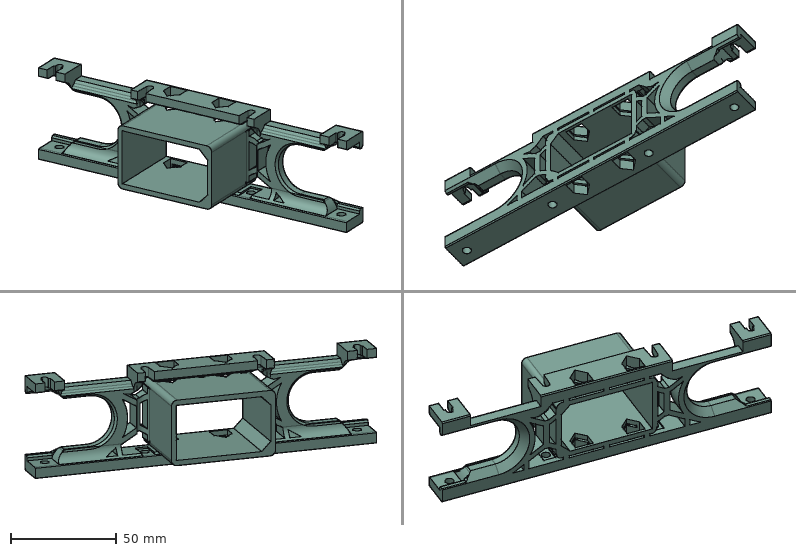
import cadquery as cq
import math


LENGTH = 171.95
HEIGHT = 47.0
FLANGE_DEPTH = 15.0
WEB_DEPTH = 9.4
END_X = LENGTH / 2
TOP_Z = HEIGHT / 2
REAR_CHAMFER = 0.6
MARGIN = 1.0

TOP_FLOOR_Z = TOP_Z - 4.8
BOTTOM_FLOOR_Z = -TOP_Z + 5.3
COVE_RADIUS = FLANGE_DEPTH - WEB_DEPTH
LIP_BEVEL_DEPTH = 1.0
TOP_LIP_BEVEL = 0.5
BOTTOM_LIP_BEVEL = 0.25

OPENING_RADIUS = 12.6
OPENING_CENTER_X = 56.4
OPENING_REAR_DEPTH = 4.2
OPENING_REAR_FLARE = 3.5
OPENING_FRONT_CHAMFER = 1.1
RING_OUTER_RADIUS = 18.9

POCKET_X = 73.6
POCKET_RAMP_X = 69.3
RAMP_BOW = 0.65
POCKET_REAR_Y = -3.1
TOP_LIP_Z = 15.05
BOTTOM_LIP_Z = -15.7
END_LIP_X = 73.3
END_LIP_BEVEL_DEPTH = 0.7
END_LIP_BEVEL_HEIGHT = 1.0

END_SCREW_X = 78.7
INNER_SCREW_X = 28.3
SCREW_Y = -7.8
SLOT_REAR_Y = -5.9
SLOT_BASE_Z = TOP_FLOOR_Z - COVE_RADIUS
CUT_FRONT_Y = -FLANGE_DEPTH - MARGIN
SCREW_HOLE_DIAMETER = 4.2
END_SLOT_WIDTH = 3.2
END_SLOT_MOUTH_WIDTH = 4.8
END_SLOT_MOUTH_Y = -8.9
INNER_SLOT_WIDTH = 3.7
INNER_SLOT_MOUTH_WIDTH = 4.7
SCREW_POCKET_WIDTH = 6.2

LOWERED_INNER_X = 34.4
LOWERED_OUTER_X = 71.2
LOWERED_FLAT_DEPTH = 5.5
LOWERED_FLAT_Z = 17.3
LOWERED_STEEP_DEPTH = 6.6
LOWERED_STEEP_Z = 15.9
LOWERED_STEP_DEPTH = 7.9
LOWERED_STEP_Z = 15.0
LOWERED_FRONT_Z = 14.2

BOX_HALF_WIDTH = 26.2
BOX_HALF_HEIGHT = 16.3
BOX_DEPTH = 40.0
BOX_CORNER_RADIUS = 2.8
BOX_SIDE_WALL = 2.4
BOX_CAP_WALL = 2.65
BOX_INNER_CHAMFER = 4.6
RIB_WIDTH = 2.9
RIB_SPACING = 21.1

WINDOW_HALF_HEIGHT = 17.4
STRUT_ANGLE = math.radians(30)
STRUT_SLOPE = math.tan(STRUT_ANGLE)
BAR_OUTER_X = 33.1
BAR_INNER_X = 29.9
BAR_INSIDE_HALF = 5.4
STRUT_OUTSIDE_HALF = 8.2
KNEE_OUTER_X = 32.5
KNEE_INNER_X = 30.3
POST_INNER_X = 40.8
POST_OUTER_X = 43.4
TRIANGLE_TIP_X = 49.0
TRIANGLE_HEIGHT = 3.2
UPPER_WINDOW_TIP_X = 39.5
UPPER_WINDOW_EDGE = ((-36.0, 11.6), (-32.3, 13.4))
UPPER_WINDOW_CORNER_X = 28.2
GROOVE_X = 32.7
GROOVE_DEPTH = 3.7
COLLAR_HALF_WIDTH = 26.7

PENTAGON_CENTERS_X = (-16.0, 11.1)
PENTAGON_WIDTH = 9.2
PENTAGON_REAR_Y = -1.5
PENTAGON_SHOULDER_Y = -7.7


def block(x_min, x_max, y_min, y_max, z_min, z_max):
    """Axis-aligned block between two corners."""
    return (
        cq.Workplane("XY")
        .box(x_max - x_min, y_max - y_min, z_max - z_min, centered=False)
        .translate((x_min, y_min, z_min))
    )


def along_x(profile, x_min, x_max):
    """Extrude a closed YZ profile between two X positions."""
    return profile.extrude(x_max - x_min).translate((x_min, 0, 0))


def along_y(profile, depth):
    """Extrude a closed XZ profile from the rear face toward the front."""
    return profile.extrude(depth)


def both_sides(body):
    """The body together with its mirror image across the YZ plane."""
    return body.union(body.mirror("YZ"))


def make_frame():
    top_lip_z = TOP_FLOOR_Z + TOP_LIP_BEVEL
    bottom_lip_z = BOTTOM_FLOOR_Z - BOTTOM_LIP_BEVEL
    bevel_y = -FLANGE_DEPTH + LIP_BEVEL_DEPTH
    sagitta = COVE_RADIUS * (1 - math.sqrt(0.5))
    cove_mid_y = -WEB_DEPTH - sagitta
    cove_end_y = -WEB_DEPTH - COVE_RADIUS
    profile = (
        cq.Workplane("YZ")
        .moveTo(-REAR_CHAMFER, TOP_Z)
        .lineTo(-FLANGE_DEPTH, TOP_Z)
        .lineTo(cove_end_y, TOP_FLOOR_Z)
        .threePointArc((cove_mid_y, TOP_FLOOR_Z - sagitta), (-WEB_DEPTH, TOP_FLOOR_Z - COVE_RADIUS))
        .lineTo(-WEB_DEPTH, BOTTOM_FLOOR_Z + COVE_RADIUS)
        .threePointArc((cove_mid_y, BOTTOM_FLOOR_Z + sagitta), (cove_end_y, BOTTOM_FLOOR_Z))
        .lineTo(-FLANGE_DEPTH, -TOP_Z)
        .lineTo(-REAR_CHAMFER, -TOP_Z)
        .lineTo(0, -TOP_Z + REAR_CHAMFER)
        .lineTo(0, TOP_Z - REAR_CHAMFER)
        .close()
    )
    frame = along_x(profile, -END_X, END_X)
    for floor_z, lip_z in ((TOP_FLOOR_Z, top_lip_z), (BOTTOM_FLOOR_Z, bottom_lip_z)):
        bevel = (
            cq.Workplane("YZ")
            .moveTo(bevel_y, floor_z)
            .lineTo(-FLANGE_DEPTH, lip_z)
            .lineTo(-FLANGE_DEPTH - MARGIN, lip_z)
            .lineTo(-FLANGE_DEPTH - MARGIN, 0)
            .lineTo(bevel_y, 0)
            .close()
        )
        frame = frame.cut(along_x(bevel, -END_X, END_X))
    return frame


def opening_outline(plane_y, radius):
    """U-shaped outline open toward the left end of the frame."""
    outer_x = -END_X - 2 * OPENING_RADIUS
    return (
        cq.Workplane("XZ", origin=(0, plane_y, 0))
        .moveTo(outer_x, radius)
        .lineTo(-OPENING_CENTER_X, radius)
        .threePointArc((-OPENING_CENTER_X + radius, 0), (-OPENING_CENTER_X, -radius))
        .lineTo(outer_x, -radius)
        .close()
    )


def flared_opening(plane_y, depth, flare):
    """Opening that widens by flare over a depth toward +Y (positive) or -Y (negative)."""
    taper = -math.degrees(math.atan(flare / abs(depth)))
    return opening_outline(plane_y, OPENING_RADIUS).extrude(-depth, taper=taper)


def make_side_opening():
    opening = along_y(opening_outline(0, OPENING_RADIUS), FLANGE_DEPTH)
    rear_flare = flared_opening(-OPENING_REAR_DEPTH, OPENING_REAR_DEPTH, OPENING_REAR_FLARE)
    chamfer_y = -WEB_DEPTH + OPENING_FRONT_CHAMFER
    front_flare = flared_opening(chamfer_y, -OPENING_FRONT_CHAMFER, OPENING_FRONT_CHAMFER)
    end_widening = along_y(
        cq.Workplane("XZ").polyline([
            (-END_X - MARGIN, TOP_LIP_Z),
            (-END_LIP_X, TOP_LIP_Z),
            (-POCKET_RAMP_X, OPENING_RADIUS),
            (-POCKET_RAMP_X, -OPENING_RADIUS),
            (-END_LIP_X, BOTTOM_LIP_Z),
            (-END_X - MARGIN, BOTTOM_LIP_Z),
        ]).close(),
        FLANGE_DEPTH,
    )
    return both_sides(opening.union(rear_flare).union(front_flare).union(end_widening))


def make_end_pockets():
    ramp_mid_x = -(POCKET_X + POCKET_RAMP_X) / 2 - RAMP_BOW
    ramp_top = (TOP_FLOOR_Z + OPENING_RADIUS) / 2
    ramp_bottom = (BOTTOM_FLOOR_Z - OPENING_RADIUS) / 2
    outline = (
        cq.Workplane("XZ", origin=(0, POCKET_REAR_Y, 0))
        .moveTo(-END_X - MARGIN, TOP_FLOOR_Z)
        .lineTo(-POCKET_X, TOP_FLOOR_Z)
        .threePointArc((ramp_mid_x, ramp_top), (-POCKET_RAMP_X, OPENING_RADIUS))
        .lineTo(-POCKET_RAMP_X, -OPENING_RADIUS)
        .threePointArc((ramp_mid_x, ramp_bottom), (-POCKET_X, BOTTOM_FLOOR_Z))
        .lineTo(-END_X - MARGIN, BOTTOM_FLOOR_Z)
        .close()
    )
    pockets = along_y(outline, FLANGE_DEPTH)
    bevel_y = POCKET_REAR_Y + END_LIP_BEVEL_DEPTH
    bevel = cq.Workplane("YZ").polyline([
        (POCKET_REAR_Y, TOP_LIP_Z + END_LIP_BEVEL_HEIGHT),
        (bevel_y, TOP_LIP_Z),
        (bevel_y, BOTTOM_LIP_Z),
        (POCKET_REAR_Y, BOTTOM_LIP_Z - END_LIP_BEVEL_HEIGHT),
    ]).close()
    pockets = pockets.union(along_x(bevel, -END_X - MARGIN, -END_LIP_X))
    return both_sides(pockets)


def make_lowered_stretches():
    profile = cq.Workplane("YZ").polyline([
        (MARGIN, LOWERED_FLAT_Z),
        (-LOWERED_FLAT_DEPTH, LOWERED_FLAT_Z),
        (-LOWERED_STEEP_DEPTH, LOWERED_STEEP_Z),
        (-LOWERED_STEP_DEPTH, LOWERED_STEP_Z),
        (-WEB_DEPTH, LOWERED_FRONT_Z),
        (-WEB_DEPTH, TOP_FLOOR_Z - COVE_RADIUS),
        (-FLANGE_DEPTH - MARGIN, TOP_FLOOR_Z - COVE_RADIUS),
        (-FLANGE_DEPTH - MARGIN, TOP_Z + MARGIN),
        (MARGIN, TOP_Z + MARGIN),
    ]).close()
    return both_sides(along_x(profile, -LOWERED_OUTER_X, -LOWERED_INNER_X))


def make_windows():
    line_start = OPENING_CENTER_X - BAR_OUTER_X
    line_offset = (BAR_INSIDE_HALF + line_start * STRUT_SLOPE) * math.cos(STRUT_ANGLE)
    chord_half = math.sqrt(RING_OUTER_RADIUS ** 2 - line_offset ** 2)
    ring_dx = line_offset * math.sin(STRUT_ANGLE) + chord_half * math.cos(STRUT_ANGLE)
    ring_x = -OPENING_CENTER_X + ring_dx
    ring_z = BAR_INSIDE_HALF + (line_start - ring_dx) * STRUT_SLOPE
    outer_window = (
        cq.Workplane("XZ")
        .moveTo(-BAR_OUTER_X, -BAR_INSIDE_HALF)
        .lineTo(-BAR_OUTER_X, BAR_INSIDE_HALF)
        .lineTo(ring_x, ring_z)
        .threePointArc((-OPENING_CENTER_X + RING_OUTER_RADIUS, 0), (ring_x, -ring_z))
        .close()
    )
    box_z = BAR_INSIDE_HALF + (BAR_INNER_X - COLLAR_HALF_WIDTH) * STRUT_SLOPE
    inner_window = cq.Workplane("XZ").polyline([
        (-BAR_INNER_X, -BAR_INSIDE_HALF),
        (-BAR_INNER_X, BAR_INSIDE_HALF),
        (-COLLAR_HALF_WIDTH, box_z),
        (-COLLAR_HALF_WIDTH, -box_z),
    ]).close()
    strut_box_z = STRUT_OUTSIDE_HALF + (KNEE_INNER_X - COLLAR_HALF_WIDTH) * STRUT_SLOPE
    upper_tip_z = STRUT_OUTSIDE_HALF + (UPPER_WINDOW_TIP_X - KNEE_OUTER_X) * STRUT_SLOPE
    post_z = STRUT_OUTSIDE_HALF + (POST_INNER_X - KNEE_OUTER_X) * STRUT_SLOPE
    upper_window = cq.Workplane("XZ").polyline([
        (-COLLAR_HALF_WIDTH, strut_box_z),
        (-KNEE_INNER_X, STRUT_OUTSIDE_HALF),
        (-KNEE_OUTER_X, STRUT_OUTSIDE_HALF),
        (-UPPER_WINDOW_TIP_X, upper_tip_z),
        *UPPER_WINDOW_EDGE,
        (-UPPER_WINDOW_CORNER_X, WINDOW_HALF_HEIGHT),
        (-COLLAR_HALF_WIDTH, WINDOW_HALF_HEIGHT),
    ]).close()
    lower_window = cq.Workplane("XZ").polyline([
        (-COLLAR_HALF_WIDTH, -strut_box_z),
        (-KNEE_INNER_X, -STRUT_OUTSIDE_HALF),
        (-KNEE_OUTER_X, -STRUT_OUTSIDE_HALF),
        (-POST_INNER_X, -post_z),
        (-POST_INNER_X, -WINDOW_HALF_HEIGHT),
        (-COLLAR_HALF_WIDTH, -WINDOW_HALF_HEIGHT),
    ]).close()
    triangle = cq.Workplane("XZ").polyline([
        (-TRIANGLE_TIP_X, -WINDOW_HALF_HEIGHT),
        (-POST_OUTER_X, -WINDOW_HALF_HEIGHT + TRIANGLE_HEIGHT),
        (-POST_OUTER_X, -WINDOW_HALF_HEIGHT),
    ]).close()
    windows = block(
        -BOX_HALF_WIDTH, BOX_HALF_WIDTH, -FLANGE_DEPTH, 0, -WINDOW_HALF_HEIGHT, WINDOW_HALF_HEIGHT
    )
    corner_z = BOX_HALF_HEIGHT - BOX_CORNER_RADIUS
    for z_min, z_max in ((corner_z, WINDOW_HALF_HEIGHT), (-WINDOW_HALF_HEIGHT, -corner_z)):
        clearance = block(-COLLAR_HALF_WIDTH, COLLAR_HALF_WIDTH, -FLANGE_DEPTH, 0, z_min, z_max)
        windows = windows.union(clearance)
    for outline in (outer_window, inner_window, upper_window, lower_window, triangle):
        windows = windows.union(both_sides(along_y(outline, FLANGE_DEPTH)))
    return windows


def make_strut_grooves():
    """Rounded upright grooves between the bars and the sleeve."""
    mid_x = -(GROOVE_X + BOX_HALF_WIDTH) / 2
    profile = (
        cq.Workplane("XY")
        .moveTo(-GROOVE_X, -WEB_DEPTH)
        .threePointArc((mid_x, -WEB_DEPTH + GROOVE_DEPTH), (-BOX_HALF_WIDTH, -WEB_DEPTH))
        .close()
    )
    groove = profile.extrude(2 * WINDOW_HALF_HEIGHT).translate((0, 0, -WINDOW_HALF_HEIGHT))
    return both_sides(groove)


def make_sleeve():
    sleeve = (
        block(-BOX_HALF_WIDTH, BOX_HALF_WIDTH, -BOX_DEPTH, 0, -BOX_HALF_HEIGHT, BOX_HALF_HEIGHT)
        .edges("|Y")
        .fillet(BOX_CORNER_RADIUS)
    )
    for rib_x in (-RIB_SPACING, 0, RIB_SPACING):
        rib = block(
            rib_x - RIB_WIDTH / 2, rib_x + RIB_WIDTH / 2,
            -WEB_DEPTH, 0,
            -WINDOW_HALF_HEIGHT, WINDOW_HALF_HEIGHT,
        )
        sleeve = sleeve.union(rib)
    inner_x = BOX_HALF_WIDTH - BOX_SIDE_WALL
    inner_z = BOX_HALF_HEIGHT - BOX_CAP_WALL
    bore = (
        block(-inner_x, inner_x, -BOX_DEPTH, 0, -inner_z, inner_z)
        .edges("|Y and >X")
        .chamfer(BOX_INNER_CHAMFER)
    )
    return sleeve.cut(bore)


def make_slot(center_x, width, mouth_width):
    """Slot with a rounded rear end that widens evenly to its open front."""
    outline = (
        cq.Workplane("XY", origin=(center_x, 0, SLOT_BASE_Z))
        .moveTo(-width / 2, SLOT_REAR_Y - width / 2)
        .threePointArc((0, SLOT_REAR_Y), (width / 2, SLOT_REAR_Y - width / 2))
        .lineTo(mouth_width / 2, CUT_FRONT_Y)
        .lineTo(-mouth_width / 2, CUT_FRONT_Y)
        .close()
    )
    return outline.extrude(TOP_Z - SLOT_BASE_Z)


def make_screw_cuts():
    cuts = make_slot(-END_SCREW_X, END_SLOT_WIDTH, END_SLOT_WIDTH)
    half_mouth = END_SLOT_MOUTH_WIDTH / 2
    cuts = cuts.union(block(
        -END_SCREW_X - half_mouth, -END_SCREW_X + half_mouth,
        CUT_FRONT_Y, END_SLOT_MOUTH_Y,
        SLOT_BASE_Z, TOP_Z,
    ))
    cuts = cuts.union(make_slot(-INNER_SCREW_X, INNER_SLOT_WIDTH, INNER_SLOT_MOUTH_WIDTH))
    for screw_x in (END_SCREW_X, INNER_SCREW_X):
        hole = (
            cq.Workplane("XY", origin=(-screw_x, SCREW_Y, -TOP_Z))
            .circle(SCREW_HOLE_DIAMETER / 2)
            .extrude(TOP_Z - WINDOW_HALF_HEIGHT + MARGIN)
        )
        cuts = cuts.union(hole)
    half_pocket = SCREW_POCKET_WIDTH / 2
    for z_min, z_max in ((WINDOW_HALF_HEIGHT, TOP_FLOOR_Z), (BOTTOM_FLOOR_Z, -WINDOW_HALF_HEIGHT)):
        cuts = cuts.union(block(
            -INNER_SCREW_X - half_pocket, -INNER_SCREW_X + half_pocket,
            CUT_FRONT_Y, POCKET_REAR_Y,
            z_min, z_max,
        ))
    return both_sides(cuts)


def make_pentagon_holes():
    half = PENTAGON_WIDTH / 2
    holes = cq.Workplane("XY", origin=(0, 0, -TOP_Z))
    for center_x in PENTAGON_CENTERS_X:
        holes = holes.polyline([
            (center_x - half, PENTAGON_REAR_Y),
            (center_x + half, PENTAGON_REAR_Y),
            (center_x + half, PENTAGON_SHOULDER_Y),
            (center_x, PENTAGON_SHOULDER_Y - half),
            (center_x - half, PENTAGON_SHOULDER_Y),
        ]).close()
    return holes.extrude(HEIGHT)


frame = make_frame()
frame = frame.cut(make_side_opening())
frame = frame.cut(make_end_pockets())
frame = frame.cut(make_lowered_stretches())
frame = frame.cut(make_windows())
frame = frame.cut(make_strut_grooves())
frame = frame.cut(make_screw_cuts())
result = frame.union(make_sleeve()).cut(make_pentagon_holes())